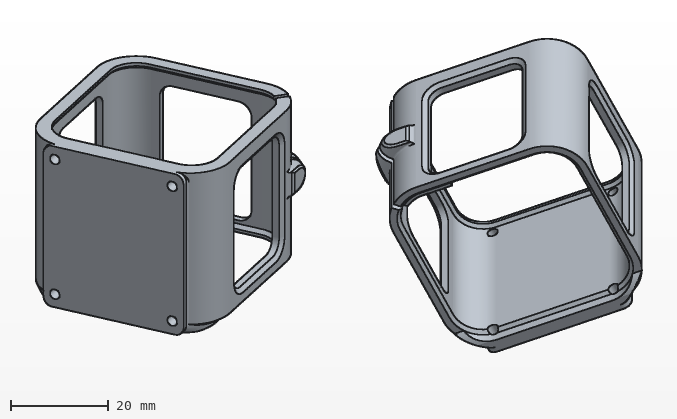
import cadquery as cq
import math

overall_length = 45.75
body_width = 43.4
body_height = 34.8
outer_radius = 9.0
front_wall = 3.6
lip_opening = 37.3
lip_radius = 6.0
clamp_reach = 0.9

half_width = body_width / 2
half_opening = lip_opening / 2
body_front = -half_opening - front_wall

lip_height = 0.75
lip_overhang = 0.75
rim_chamfer = 0.8
ledge_inset = 0.1
ledge_start = 6.0
ledge_embed = 0.45

plate_width = 32.1
plate_thickness = 1.3
plate_drop = 2.2
plate_radius = 2.0
flare_back = -21.05
flare_angle = 45.0
plate_front = half_width + clamp_reach - overall_length
plate_height = body_height + plate_drop
plate_center_z = body_height / 2 - plate_drop / 2
hole_diameter = 2.2
hole_spacing_x = 26.9
hole_bottom_z = 0.82
hole_top_z = 31.85

foot_back = -16.9
foot_flat = -20.0
foot_middle = -18.47
foot_middle_depth = 1.5
collar_height = 0.65

window_width = 21.05
window_bottom = 3.1
window_top = 30.45
window_radius = 3.0
window_offset = 0.25
window_bevel = 1.05
window_bevel_depth = 0.75

clamp_start = 13.25
clamp_root = 2.3
clamp_center_z = body_height / 2
clamp_radius = 2.75
clamp_axis = 27.25
clamp_chamfer = 0.4
clamp_fillet = 0.35
split_width = 1.0
split_angle = 45.0

beyond = 4.57


def body_outline():
    outline = cq.Sketch().rect(body_width, half_width - body_front).vertices().fillet(outer_radius)
    return outline.moved(cq.Location(cq.Vector(0, (half_width + body_front) / 2, 0)))


def cavity_section(z, growth):
    """Rounded square at height z, larger than the lip opening by `growth` on every side."""
    side = lip_opening + 2 * growth
    outline = cq.Sketch().rect(side, side).vertices().fillet(lip_radius + growth)
    return outline.moved(cq.Location(cq.Vector(0, 0, z)))


def cavity_flare(z_low, growth_low, z_high, growth_high):
    low = cavity_section(z_low, growth_low)
    return cq.Workplane("XY").placeSketch(low, cavity_section(z_high, growth_high)).loft()


def cavity_prism(z_low, z_high, growth):
    return cq.Workplane("XY").placeSketch(cavity_section(z_low, growth)).extrude(z_high - z_low)


def make_cavity():
    """Cutter for the recess under the top lip and for the widening mouth at the bottom rim."""
    lip_bottom = body_height - lip_height
    recess_top = lip_bottom - lip_overhang
    cavity = cavity_prism(rim_chamfer, recess_top, lip_overhang)
    cavity = cavity.union(cavity_prism(lip_bottom, body_height + beyond, 0))
    cavity = cavity.union(cavity_flare(recess_top, lip_overhang, lip_bottom, 0))
    mouth = lip_overhang + rim_chamfer
    cavity = cavity.union(cavity_flare(0, mouth, rim_chamfer, lip_overhang))
    return cavity.union(cavity_prism(-beyond, 0, mouth))


def make_ledge():
    """Catch inside the +Y wall that runs from ledge_start around the corner to the split."""
    lip_top = rim_chamfer + lip_height
    depth = lip_overhang + ledge_inset
    opening = cavity_prism(rim_chamfer, lip_top, -ledge_inset)
    opening = opening.union(cavity_flare(lip_top, -ledge_inset, lip_top + depth, lip_overhang))
    ring = cavity_prism(rim_chamfer, lip_top + depth, lip_overhang + ledge_embed).cut(opening)
    zone = (
        cq.Workplane("XY")
        .polyline([(ledge_start, ledge_start), (half_width, half_width), (ledge_start, half_width)])
        .close()
        .extrude(body_height)
    )
    return ring.intersect(zone)


def make_plate():
    """Rounded plate with a 45 degree flare behind it that ends in the foot below the rim."""
    plate_back = plate_front + plate_thickness
    outline = cq.Sketch().rect(plate_width, plate_height).vertices().fillet(plate_radius)
    place = cq.Workplane("XZ", origin=(0, plate_back, plate_center_z))
    plate = place.placeSketch(outline).extrude(plate_thickness)
    flare = place.placeSketch(outline).extrude(plate_back - foot_back, taper=-flare_angle)
    collar = cq.Workplane("XY").placeSketch(body_outline()).extrude(-collar_height, taper=flare_angle)
    limits = (
        cq.Workplane("YZ")
        .moveTo(foot_back, 0)
        .threePointArc((foot_middle, -foot_middle_depth), (foot_flat, -plate_drop))
        .lineTo(plate_front, -plate_drop)
        .lineTo(plate_front, body_height)
        .lineTo(flare_back, body_height)
        .lineTo(flare_back, 0)
        .close()
        .extrude(half_width, both=True)
    )
    return plate.union(flare.union(collar).intersect(limits))


def plate_holes():
    x = hole_spacing_x / 2
    return (
        cq.Workplane("XZ", origin=(0, plate_front, 0))
        .pushPoints([(side * x, z) for side in (-1, 1) for z in (hole_bottom_z, hole_top_z)])
        .circle(hole_diameter / 2)
        .extrude(-front_wall - beyond)
    )


def window_section(growth):
    width = window_width + 2 * growth
    height = window_top - window_bottom + 2 * growth
    return cq.Sketch().rect(width, height).vertices().fillet(window_radius + growth)


def make_window(offset):
    """Cutter for the -X wall with a bevel around the outer edge."""
    center_z = (window_bottom + window_top) / 2
    place = cq.Workplane("YZ", origin=(-half_width, offset, center_z))
    bevel_end = window_section(0).moved(cq.Location(cq.Vector(0, 0, window_bevel_depth)))
    bevel = place.placeSketch(window_section(window_bevel), bevel_end).loft()
    return bevel.union(place.placeSketch(window_section(0)).extrude(half_width / 2))


def make_clamp():
    """Square corner block rounded to a horizontal cylinder that lies across the split."""
    reach = half_width + clamp_reach
    slope_end = clamp_start + clamp_reach
    root = clamp_start - clamp_root
    corner = (
        cq.Workplane("XY")
        .polyline(
            [
                (root, root),
                (root, half_width - clamp_root),
                (slope_end, reach),
                (reach, reach),
                (reach, slope_end),
                (half_width - clamp_root, root),
            ]
        )
        .close()
        .extrude(body_height)
    )
    boss = (
        cq.Workplane("XZ")
        .center(clamp_axis, clamp_center_z)
        .circle(clamp_radius)
        .extrude(body_width, both=True)
    )
    web = cq.Workplane("XY").box(clamp_axis, 2 * body_width, 2 * clamp_radius, centered=(False, True, True))
    bar = boss.union(web.translate((0, 0, clamp_center_z))).rotate((0, 0, 0), (0, 0, 1), split_angle)
    clamp = corner.intersect(bar)
    return clamp.faces(">X or >Y").edges().chamfer(clamp_chamfer)


def on_clamp_root(edge):
    """True for the edges where the clamp boss meets the rounded corner of the body."""
    middle = edge.positionAt(0.5)
    arc_center = half_width - outer_radius
    from_arc = math.hypot(middle.x - arc_center, middle.y - arc_center) - outer_radius
    in_corner = min(middle.x, middle.y) > arc_center
    in_height = abs(middle.z - clamp_center_z) < clamp_radius + clamp_fillet
    return in_corner and in_height and abs(from_arc) < clamp_fillet / 10


def add_clamp(body):
    joined = body.union(make_clamp())
    return joined.edges().filter(on_clamp_root).fillet(clamp_fillet)


def make_split():
    slot = cq.Workplane("XY").box(body_width, split_width, body_height + beyond, centered=(False, True, False))
    return slot.rotate((0, 0, 0), (0, 0, 1), split_angle)


body = cq.Workplane("XY").placeSketch(body_outline()).extrude(body_height)
body = add_clamp(body)
body = body.union(make_plate())
body = body.cut(make_cavity()).union(make_ledge())
body = body.cut(plate_holes()).cut(make_split())
for angle, offset in ((0, window_offset), (-90, -window_offset), (180, -window_offset)):
    body = body.cut(make_window(offset).rotate((0, 0, 0), (0, 0, 1), angle))

result = body